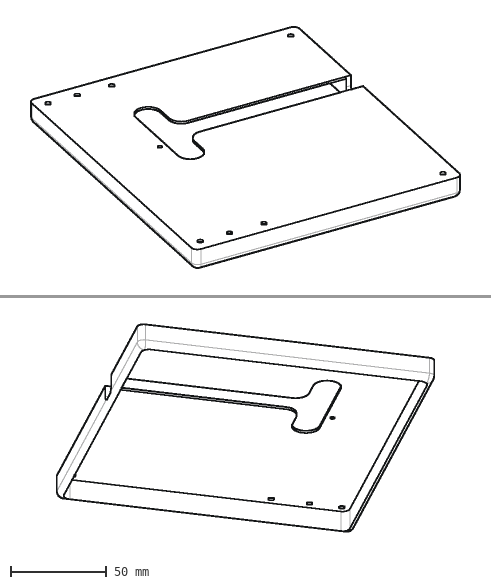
import cadquery as cq

LENGTH = 179.0
WIDTH = 160.17
HEIGHT = 13.05
CORNER_RADIUS = 3.5
BOTTOM_EDGE_RADIUS = 4.0

WALL = 3.0
INNER_CORNER_RADIUS = 4.0
TOP_THICKNESS = 1.4

SLOT_CENTRE_X = -24.1
STEM_WIDTH = 12.9
FOOT_LENGTH = 60.0
FOOT_WIDTH = 14.8
STEM_FILLET = FOOT_WIDTH / 2
FOOT_FRONT_FROM_BACK = 119.7
FOOT_CENTRE_Y = WIDTH / 2 - FOOT_FRONT_FROM_BACK + FOOT_WIDTH / 2
FOOT_BACK_Y = FOOT_CENTRE_Y + FOOT_WIDTH / 2

SELECTION_MARGIN = 1.0

NOTCH_FLOOR_Z = 3.2
NOTCH_CORNER_RADIUS = 7.47 / 2

SCREW_HOLE_DIAMETER = 3.0
SCREW_INSET = 7.5
SCREW_ROWS_FROM_FRONT = (SCREW_INSET, 25.0, 45.6, WIDTH - SCREW_INSET)

PILOT_DIAMETER = 2.2
PILOT_X = -14.0
PILOT_FROM_FRONT = 36.7


def make_shell():
    """Rounded tray, rim downwards, with the outside of the rim rounded over."""
    outer = cq.Workplane("XY").box(LENGTH, WIDTH, HEIGHT, centered=(True, True, False))
    outer = outer.edges("|Z").fillet(CORNER_RADIUS)
    cavity_size = (LENGTH - 2 * WALL, WIDTH - 2 * WALL, HEIGHT - TOP_THICKNESS)
    cavity = cq.Workplane("XY").box(*cavity_size, centered=(True, True, False))
    cavity = cavity.edges("|Z").fillet(INNER_CORNER_RADIUS)
    rounded = outer.faces("<Z").edges().fillet(BOTTOM_EDGE_RADIUS)
    return rounded.cut(cavity)


def make_slot():
    """T-shaped cutter: a rounded foot and a stem that reaches the inside of the back wall."""
    foot = (
        cq.Workplane("XY")
        .center(SLOT_CENTRE_X, FOOT_CENTRE_Y)
        .slot2D(FOOT_LENGTH, FOOT_WIDTH)
        .extrude(HEIGHT)
    )
    inner_back_y = WIDTH / 2 - WALL
    stem = (
        cq.Workplane("XY")
        .center(SLOT_CENTRE_X, FOOT_CENTRE_Y)
        .rect(STEM_WIDTH, inner_back_y - FOOT_CENTRE_Y, centered=(True, False))
        .extrude(HEIGHT)
    )
    inner_corners = cq.selectors.BoxSelector(
        (SLOT_CENTRE_X - STEM_WIDTH, FOOT_BACK_Y - SELECTION_MARGIN, 0),
        (SLOT_CENTRE_X + STEM_WIDTH, FOOT_BACK_Y + SELECTION_MARGIN, HEIGHT),
    )
    return foot.union(stem).edges(inner_corners).edges("|Z").fillet(STEM_FILLET)


def make_notch():
    """Round-bottomed cutter through the back wall, as wide as the slot stem."""
    notch = cq.Workplane("XY").box(STEM_WIDTH, WALL, HEIGHT, centered=(True, False, False))
    notch = notch.faces("<Z").edges("|Y").fillet(NOTCH_CORNER_RADIUS)
    return notch.translate((SLOT_CENTRE_X, WIDTH / 2 - WALL, NOTCH_FLOOR_Z))


def make_holes():
    """All vertical hole cutters: two columns of screw holes and the pilot hole."""
    column_x = LENGTH / 2 - SCREW_INSET
    screw_points = [
        (x, row - WIDTH / 2) for x in (-column_x, column_x) for row in SCREW_ROWS_FROM_FRONT
    ]
    screws = cq.Workplane("XY").pushPoints(screw_points).circle(SCREW_HOLE_DIAMETER / 2).extrude(HEIGHT)
    pilot = (
        cq.Workplane("XY")
        .center(PILOT_X, PILOT_FROM_FRONT - WIDTH / 2)
        .circle(PILOT_DIAMETER / 2)
        .extrude(HEIGHT)
    )
    return screws.add(pilot)


result = make_shell().cut(make_slot()).cut(make_notch()).cut(make_holes())